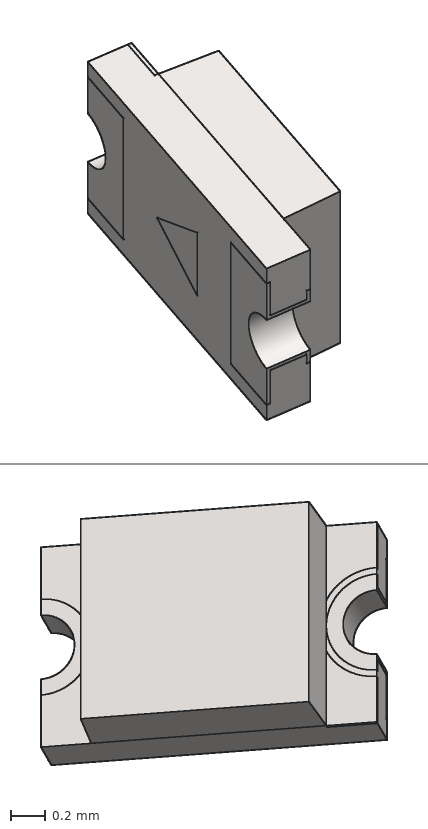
import cadquery as cq
import math

length = 2.0
width = 1.25
board_depth = 0.3
lens_depth = 0.4

lens_base_length = 1.4
lens_top_length = 1.36

layer = 0.025
pad_length = 0.4
pad_width = 1.0
notch_radius = 0.2
barrel_radius = notch_radius + layer
collar_radius = 0.3

mark_clearance = 0.04
mark_length = (length - lens_base_length) / 2
triangle_side = 0.52
triangle_height = triangle_side * math.sqrt(3) / 2


def block(size_x, size_z, center_x, start_y, depth):
    """Box centred on Z = 0 that runs from start_y toward +Y."""
    return (
        cq.Workplane("XY")
        .box(size_x, depth, size_z, centered=(True, False, True))
        .translate((center_x, start_y, 0))
    )


def rod(radius, center_x, start_y, depth):
    """Cylinder along Y that runs from start_y toward +Y."""
    return cq.Workplane("XZ", origin=(center_x, start_y, 0)).circle(radius).extrude(-depth)


def make_terminal(side):
    """Pad, barrel and collar at one X end; side is -1 or +1."""
    end_x = side * length / 2
    pad = block(pad_length, pad_width, end_x - side * pad_length / 2, 0, layer)
    barrel = rod(barrel_radius, end_x, 0, board_depth)
    collar = rod(collar_radius, end_x, board_depth - layer, layer)
    envelope = block(length, width, 0, 0, board_depth)
    notch = rod(notch_radius, end_x, 0, board_depth)
    return pad.union(barrel).union(collar).intersect(envelope).cut(notch)


def make_direction_mark():
    """Triangle set flush in the solder face, pointing to -X."""
    half_height = triangle_height / 2
    half_side = triangle_side / 2
    corners = [(-half_height, 0), (half_height, half_side), (half_height, -half_side)]
    return cq.Workplane("XZ").polyline(corners).close().extrude(-layer)


def make_end_marks():
    """Flush rear strip at the -X end, parted in two around the terminal collar."""
    start_y = board_depth - layer
    strip = block(mark_length, width, (mark_length - length) / 2, start_y, layer)
    return strip.cut(rod(collar_radius + mark_clearance, -length / 2, start_y, layer)).solids()


def make_board(inlays):
    """Plate with end notches and a matching recess for every inlaid body."""
    board = block(length, width, 0, 0, board_depth)
    for side in (-1, 1):
        board = board.cut(rod(notch_radius, side * length / 2, 0, board_depth))
    for inlay in inlays:
        board = board.cut(cq.Workplane(inlay))
    return board


def make_lens():
    """Full-width lens with sloping X ends, on the rear face of the board."""
    rear_y = board_depth + lens_depth
    outline = [
        (-lens_base_length / 2, board_depth),
        (lens_base_length / 2, board_depth),
        (lens_top_length / 2, rear_y),
        (-lens_top_length / 2, rear_y),
    ]
    return cq.Workplane("XY").polyline(outline).close().extrude(width / 2, both=True)


terminals = [make_terminal(side).solids().val() for side in (-1, 1)]
direction_mark = make_direction_mark()
end_marks = make_end_marks()
board = make_board([*terminals, direction_mark.val(), *end_marks.vals()])
lens = make_lens()

result = cq.Compound.makeCompound(
    [*board.solids().vals(), lens.val(), *terminals, direction_mark.val(), *end_marks.vals()]
)